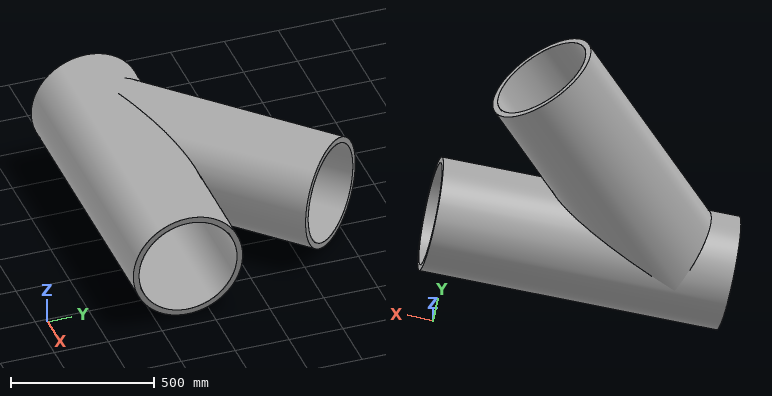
import cadquery as cq
import math

outer_diameter = 406.4
bore_diameter = 363.52

branch_angle = 45.0
inlet_length = 190.5
outlet_length = 876.3
branch_length = outlet_length

run_start = cq.Vector(-inlet_length, 0, 0)
run_direction = cq.Vector(1, 0, 0)
run_length = inlet_length + outlet_length

branch_start = cq.Vector(0, 0, 0)
branch_direction = cq.Vector(
    math.cos(math.radians(branch_angle)),
    math.sin(math.radians(branch_angle)),
    0,
)


def lateral(diameter):
    """Solid Y of two equal cylinders, the run and the angled branch."""
    radius = diameter / 2
    run = cq.Solid.makeCylinder(radius, run_length, run_start, run_direction)
    branch = cq.Solid.makeCylinder(radius, branch_length, branch_start, branch_direction)
    return cq.Workplane(obj=run).union(cq.Workplane(obj=branch))


result = lateral(outer_diameter).cut(lateral(bore_diameter))